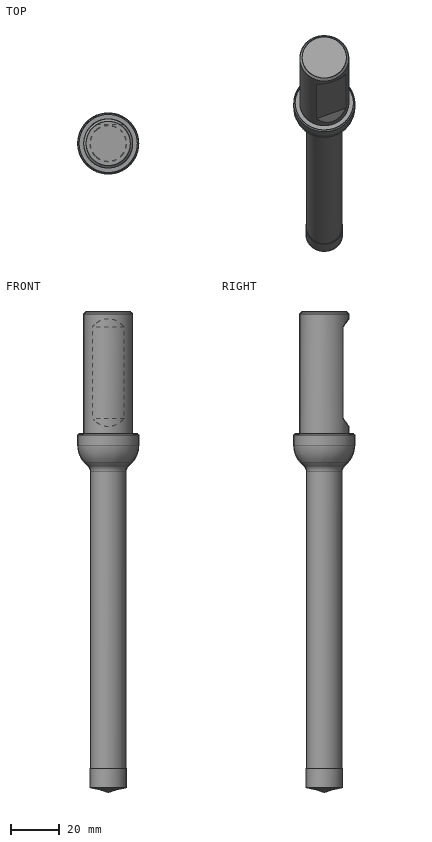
import cadquery as cq
import math

total_length = 196.8
shank_length = 50.0
shank_base = total_length - shank_length
collar_height = 5.0
collar_base = shank_base - collar_height
neck_base = 131.3
insert_length = 9.8

shank_diameter = 20.0
collar_diameter = 25.0
body_diameter = 14.5
insert_diameter = 15.0
pilot_diameter = 7.0

collar_round = 9.8
blend_angle = math.radians(45)

shank_chamfer = 1.0
collar_chamfer = 0.5
pilot_height = 1.2
point_height = 2.0

flat_depth = 2.4
flat_length = 37.4
flat_ramp = 3.3


def make_holder():
    """Turned shank, collar and long body, resting on the drill insert."""
    shank_radius = shank_diameter / 2
    collar_radius = collar_diameter / 2
    body_radius = body_diameter / 2

    round_middle = (
        collar_radius - collar_round * (1 - math.cos(blend_angle / 2)),
        collar_base - collar_round * math.sin(blend_angle / 2),
    )
    round_end = (
        collar_radius - collar_round * (1 - math.cos(blend_angle)),
        collar_base - collar_round * math.sin(blend_angle),
    )

    cone_foot = round_end[1] - (round_end[0] - body_radius) / math.tan(blend_angle)
    neck_fillet = (cone_foot - neck_base) / math.tan(blend_angle / 2)
    fillet_middle = (
        body_radius + neck_fillet * (1 - math.cos(blend_angle / 2)),
        neck_base + neck_fillet * math.sin(blend_angle / 2),
    )
    fillet_end = (
        body_radius + neck_fillet * (1 - math.cos(blend_angle)),
        neck_base + neck_fillet * math.sin(blend_angle),
    )

    profile = (
        cq.Workplane("XZ")
        .moveTo(0, insert_length)
        .lineTo(body_radius, insert_length)
        .lineTo(body_radius, neck_base)
        .threePointArc(fillet_middle, fillet_end)
        .lineTo(*round_end)
        .threePointArc(round_middle, (collar_radius, collar_base))
        .lineTo(collar_radius, shank_base - collar_chamfer)
        .lineTo(collar_radius - collar_chamfer, shank_base)
        .lineTo(shank_radius, shank_base)
        .lineTo(shank_radius, total_length - shank_chamfer)
        .lineTo(shank_radius - shank_chamfer, total_length)
        .lineTo(0, total_length)
        .close()
    )
    return profile.revolve(360, (0, 0, 0), (0, 1, 0)).cut(make_flat_cutter())


def make_flat_cutter():
    """Trapezoidal prism that removes the clamping flat and its ramps."""
    outer_y = shank_diameter / 2
    flat_y = outer_y - flat_depth
    flat_base = shank_base + (shank_length - flat_length) / 2
    flat_top = flat_base + flat_length
    return (
        cq.Workplane("YZ")
        .moveTo(flat_y, flat_base)
        .lineTo(flat_y, flat_top)
        .lineTo(outer_y, flat_top + flat_ramp)
        .lineTo(outer_y, flat_base - flat_ramp)
        .close()
        .extrude(shank_diameter / 2, both=True)
    )


def make_insert():
    """Drill insert with a shallow end cone and a steeper pilot point."""
    insert_radius = insert_diameter / 2
    return (
        cq.Workplane("XZ")
        .lineTo(pilot_diameter / 2, pilot_height)
        .lineTo(insert_radius, point_height)
        .lineTo(insert_radius, insert_length)
        .lineTo(0, insert_length)
        .close()
        .revolve(360, (0, 0, 0), (0, 1, 0))
    )


holder = make_holder()
insert = make_insert()
result = cq.Compound.makeCompound([holder.val(), insert.val()])